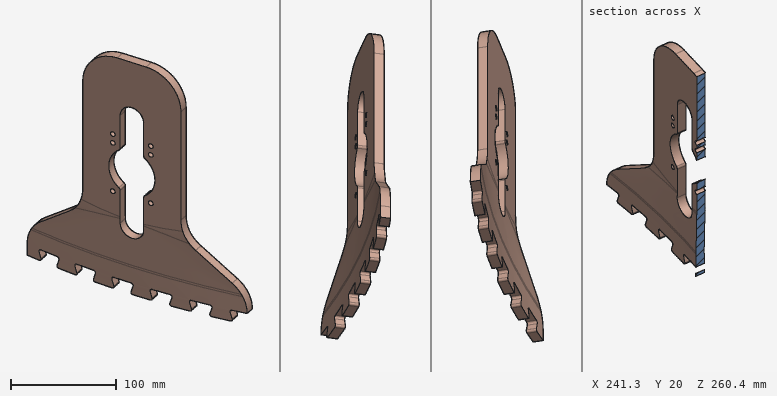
import cadquery as cq

height = 260.4
half_width = 241.3 / 2
thickness = 10.0
sweep_back = 10.0
centre_set_back = 0.5

neck_half_width = 54.0
outline_radius = 38.0
neck_corner_z = 82.3
foot_corner_z = 31.5

neck_bend_radius = 99.0
foot_bend_width = 2.3
stock_scale = 1.15
neck_line_half = 60.0
foot_line_half = half_width

notch_count = 6
notch_pitch = 42.0
first_notch_x = -94.5
notch_depth = 12.5
notch_top_width = 25.0
notch_mouth_width = 17.2
notch_corner_radius = 2.0

slot_width = 25.5
slot_length = 146.3
slot_centre_z = 136.5
bore_diameter = 50.5
slot_blend_radius = 3.0
hole_diameter = 5.0
hole_x = 20.8
hole_heights = (109.3, 163.5, 173.5)

tolerance = 0.3

prism_depth = 104.1
front_plane = cq.Workplane("XZ", origin=(0, prism_depth / 2, 0))


def plate_section(z, spread):
    """Horizontal section of the plate; spread runs from 0 (flat neck) to 1 (full foot arch)."""
    half = stock_scale * (neck_line_half + spread * (foot_line_half - neck_line_half))
    middle_y = spread * centre_set_back
    end_y = spread * (centre_set_back + (sweep_back - centre_set_back) * stock_scale ** 2)
    section = cq.Workplane("XY", origin=(0, 0, z)).moveTo(-half, end_y)
    if spread == 0:
        section = section.lineTo(half, end_y).lineTo(half, thickness).lineTo(-half, thickness)
    else:
        section = (
            section
            .threePointArc((0, middle_y), (half, end_y))
            .lineTo(half, end_y + thickness)
            .threePointArc((0, middle_y + thickness), (-half, end_y + thickness))
        )
    return section.close().val()


def bent_blank():
    """Oversized plate: flat neck, ruled shoulder and arched foot."""
    shoulder_height = neck_corner_z - foot_corner_z
    sections = [
        plate_section(0, 1),
        plate_section(foot_corner_z - foot_bend_width / 2, 1),
        plate_section(foot_corner_z + foot_bend_width / 2, 1 - foot_bend_width / 2 / shoulder_height),
        plate_section(neck_corner_z, 0),
        plate_section(height, 0),
    ]
    return cq.Workplane(cq.Solid.makeLoft(sections, True))


def round_neck_bend(plate):
    """Round the front and back creases where the neck meets the shoulder."""
    for face_y, radius in ((0, neck_bend_radius), (thickness, neck_bend_radius - thickness)):
        crease = cq.selectors.BoxSelector(
            (-half_width, face_y - tolerance, neck_corner_z - tolerance),
            (half_width, face_y + tolerance, neck_corner_z + tolerance),
        )
        plate = plate.edges("|X").edges(crease).fillet(radius)
    return plate


def outline_prism():
    """Front outline with rounded corners and the row of dovetail notches."""
    right_side = [
        (half_width, 0),
        (half_width, foot_corner_z),
        (neck_half_width, neck_corner_z),
        (neck_half_width, height),
    ]
    left_side = [(-x, z) for x, z in reversed(right_side)]
    prism = front_plane.polyline(right_side + left_side).close().extrude(prism_depth)
    prism = prism.edges("|Y").edges(cq.selectors.BoxSelector(
        (-height, -height, foot_corner_z / 2), (height, height, 2 * height)
    )).fillet(outline_radius)

    for index in range(notch_count):
        x = first_notch_x + index * notch_pitch
        notch = (
            front_plane
            .moveTo(x - notch_mouth_width / 2, 0)
            .lineTo(x - notch_top_width / 2, notch_depth)
            .lineTo(x + notch_top_width / 2, notch_depth)
            .lineTo(x + notch_mouth_width / 2, 0)
            .close()
            .extrude(prism_depth)
        )
        if index == notch_count - 1:
            open_side = cq.Workplane("XY").box(
                half_width, prism_depth, notch_depth, centered=(False, True, False)
            ).translate((x, 0, 0))
            notch = notch.union(open_side)
        prism = prism.cut(notch)

    corner_limit = half_width - notch_corner_radius
    return prism.edges("|Y").edges(cq.selectors.BoxSelector(
        (-corner_limit, -height, -tolerance), (corner_limit, height, notch_depth + tolerance)
    )).fillet(notch_corner_radius)


def keyhole_prism():
    """Vertical slot with a round bore at mid-length, blended where they meet."""
    plane = front_plane.center(0, slot_centre_z)
    slot = plane.slot2D(slot_length, slot_width, 90).extrude(prism_depth)
    bore = plane.circle(bore_diameter / 2).extrude(prism_depth)
    junctions = cq.selectors.BoxSelector(
        (-slot_width / 2 - tolerance, -prism_depth, slot_centre_z - bore_diameter / 2),
        (slot_width / 2 + tolerance, prism_depth, slot_centre_z + bore_diameter / 2),
    )
    return slot.union(bore).edges("|Y").edges(junctions).fillet(slot_blend_radius)


def screw_holes():
    """Small through holes on both sides of the keyhole."""
    centres = [(side * hole_x, z) for side in (-1, 1) for z in hole_heights]
    return front_plane.pushPoints(centres).circle(hole_diameter / 2).extrude(prism_depth)


plate = round_neck_bend(bent_blank())
result = plate.intersect(outline_prism()).cut(keyhole_prism()).cut(screw_holes())